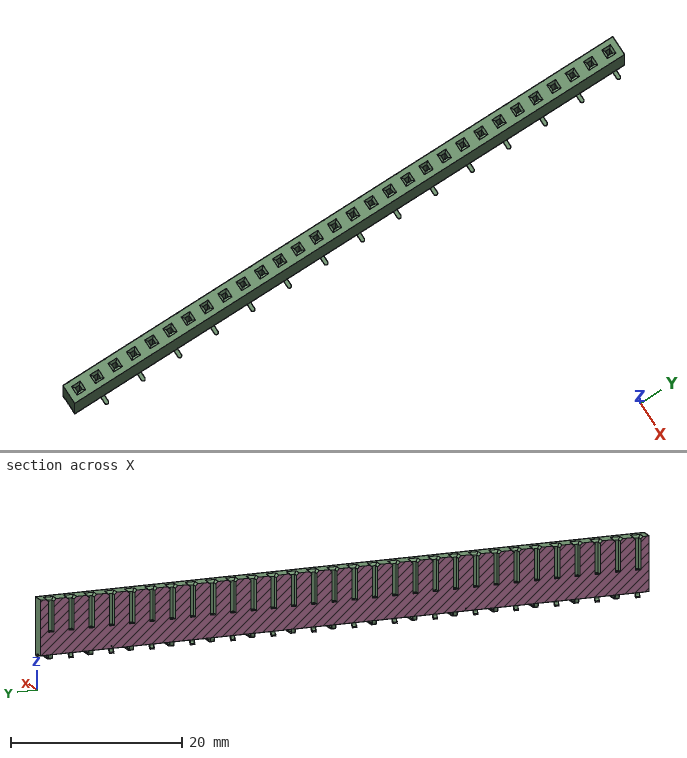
import cadquery as cq

contact_count = 30
pitch = 2.54
end_margin = 0.1

overall_height = 7.4
standoff = 0.3
housing_width = 2.54
housing_length = contact_count * pitch + 2 * end_margin
housing_height = overall_height - standoff
channel_width = 1.5
channel_depth = 0.3

funnel_mouth = 1.2
socket_width = 0.6
funnel_depth = (funnel_mouth - socket_width) / 2
socket_depth = 4.0
slot_length = 0.3
slot_width = 0.2
slot_depth = 1.0

lead_span = 4.64
lead_width = 0.5
lead_thickness = 0.2
bend_inner_radius = 0.15
bend_outer_radius = bend_inner_radius + lead_thickness
stem_embed = 0.5

contact_positions = [
    (index - (contact_count - 1) / 2) * pitch for index in range(contact_count)
]


def make_housing():
    base = cq.Workplane("XY", origin=(0, 0, standoff))
    block = base.rect(housing_width, housing_length).extrude(housing_height)
    channel = base.rect(channel_width, housing_length).extrude(channel_depth)
    return block.cut(channel)


def make_opening():
    """Cutter for one contact opening at Y = 0."""
    socket_floor = overall_height - socket_depth
    socket = (
        cq.Workplane("XY", origin=(0, 0, socket_floor))
        .rect(socket_width, socket_width)
        .extrude(socket_depth)
    )
    funnel = (
        cq.Workplane("XY", origin=(0, 0, overall_height - funnel_depth))
        .rect(socket_width, socket_width)
        .workplane(offset=funnel_depth)
        .rect(funnel_mouth, funnel_mouth)
        .loft(ruled=True)
    )
    slot = (
        cq.Workplane("XY", origin=(0, 0, socket_floor - slot_depth))
        .rect(slot_length, slot_width)
        .extrude(slot_depth)
    )
    return socket.union(funnel).union(slot)


def make_lead():
    """Lead at Y = 0 whose foot points to +X."""
    half_thickness = lead_thickness / 2
    half_width = lead_width / 2
    tip_x = lead_span / 2
    stem_top = standoff + channel_depth + stem_embed
    bend_center_x = half_thickness + bend_inner_radius
    bent_strip = (
        cq.Workplane("XZ", origin=(0, half_width, 0))
        .moveTo(-half_thickness, stem_top)
        .lineTo(-half_thickness, bend_outer_radius)
        .radiusArc((bend_center_x, 0), -bend_outer_radius)
        .lineTo(tip_x, 0)
        .lineTo(tip_x, lead_thickness)
        .lineTo(bend_center_x, lead_thickness)
        .radiusArc((half_thickness, bend_outer_radius), bend_inner_radius)
        .lineTo(half_thickness, stem_top)
        .close()
        .extrude(lead_width)
    )
    round_start_x = tip_x - half_width
    rounded_plan = (
        cq.Workplane("XY")
        .moveTo(-half_thickness, -half_width)
        .lineTo(round_start_x, -half_width)
        .threePointArc((tip_x, 0), (round_start_x, half_width))
        .lineTo(-half_thickness, half_width)
        .close()
        .extrude(stem_top)
    )
    return bent_strip.intersect(rounded_plan)


def cut_openings(housing):
    opening = make_opening()
    cutters = [opening.translate((0, y, 0)).val() for y in contact_positions]
    return cq.Workplane(housing.val().cut(*cutters))


def add_leads(housing):
    """Feet alternate sides, starting with -X at the -Y end."""
    right_lead = make_lead()
    left_lead = right_lead.rotate((0, 0, 0), (0, 0, 1), 180)
    leads = []
    for index, y in enumerate(contact_positions):
        lead = left_lead if index % 2 == 0 else right_lead
        leads.append(lead.translate((0, y, 0)).val())
    return cq.Workplane(housing.val().fuse(*leads))


result = add_leads(cut_openings(make_housing())).solids()